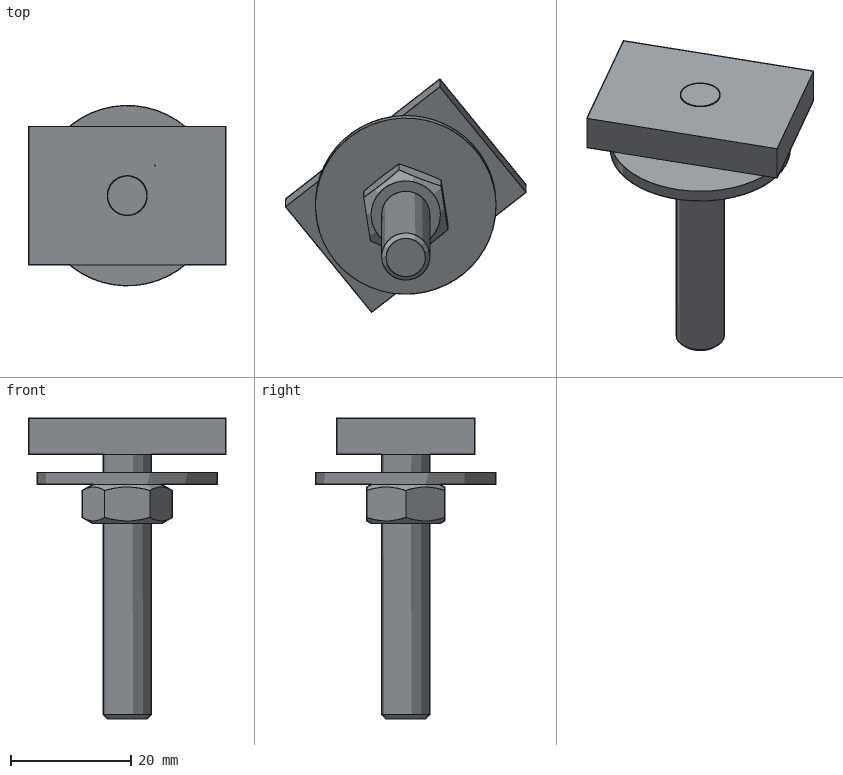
import cadquery as cq
import math

PLATE_LENGTH = 32.8
PLATE_WIDTH = 23.0
PLATE_THICKNESS = 6.0
PLATE_HOLE_DIAMETER = 6.647

STUD_DIAMETER = 8.0
STUD_LENGTH = 50.0
STUD_CHAMFER = 0.75

WASHER_DIAMETER = 30.0
WASHER_THICKNESS = 2.0
WASHER_GAP = 3.0

NUT_SIDES = 6
NUT_ACROSS_FLATS = 13.0
NUT_HEIGHT = 6.5
NUT_FACE_DIAMETER = 11.5
NUT_CHAMFER_ANGLE = 30.0

PLATE_BOTTOM = STUD_LENGTH - PLATE_THICKNESS
WASHER_BOTTOM = PLATE_BOTTOM - WASHER_GAP - WASHER_THICKNESS
NUT_BOTTOM = WASHER_BOTTOM - NUT_HEIGHT


def make_plate():
    """Rectangular plate with a core-diameter hole for the stud thread."""
    return (
        cq.Workplane("XY", origin=(0, 0, PLATE_BOTTOM))
        .rect(PLATE_LENGTH, PLATE_WIDTH)
        .circle(PLATE_HOLE_DIAMETER / 2)
        .extrude(PLATE_THICKNESS)
    )


def make_stud():
    """Round stud chamfered at both ends.

    The upper end fills the plate hole. Its chamfer starts just inside the hole rim,
    which leaves a very fine groove around the end face.
    """
    return (
        cq.Workplane("XY")
        .circle(STUD_DIAMETER / 2)
        .extrude(STUD_LENGTH)
        .faces("<Z or >Z")
        .chamfer(STUD_CHAMFER)
    )


def make_washer():
    return (
        cq.Workplane("XY", origin=(0, 0, WASHER_BOTTOM))
        .circle(WASHER_DIAMETER / 2)
        .extrude(WASHER_THICKNESS)
    )


def make_nut():
    """Hexagon with corners along X, both ends trimmed by cones."""
    corner_radius = NUT_ACROSS_FLATS / 2 / math.cos(math.pi / NUT_SIDES)
    face_radius = NUT_FACE_DIAMETER / 2
    chamfer_drop = (corner_radius - face_radius) * math.tan(math.radians(NUT_CHAMFER_ANGLE))

    hexagon = (
        cq.Workplane("XY", origin=(0, 0, NUT_BOTTOM))
        .polygon(NUT_SIDES, 2 * corner_radius)
        .extrude(NUT_HEIGHT)
    )
    chamfer_envelope = (
        cq.Workplane("XZ", origin=(0, 0, NUT_BOTTOM))
        .lineTo(face_radius, 0)
        .lineTo(corner_radius, chamfer_drop)
        .lineTo(corner_radius, NUT_HEIGHT - chamfer_drop)
        .lineTo(face_radius, NUT_HEIGHT)
        .lineTo(0, NUT_HEIGHT)
        .close()
        .revolve(360, (0, 0, 0), (0, 1, 0))
    )
    return hexagon.intersect(chamfer_envelope)


result = make_plate().union(make_stud()).union(make_washer()).union(make_nut())